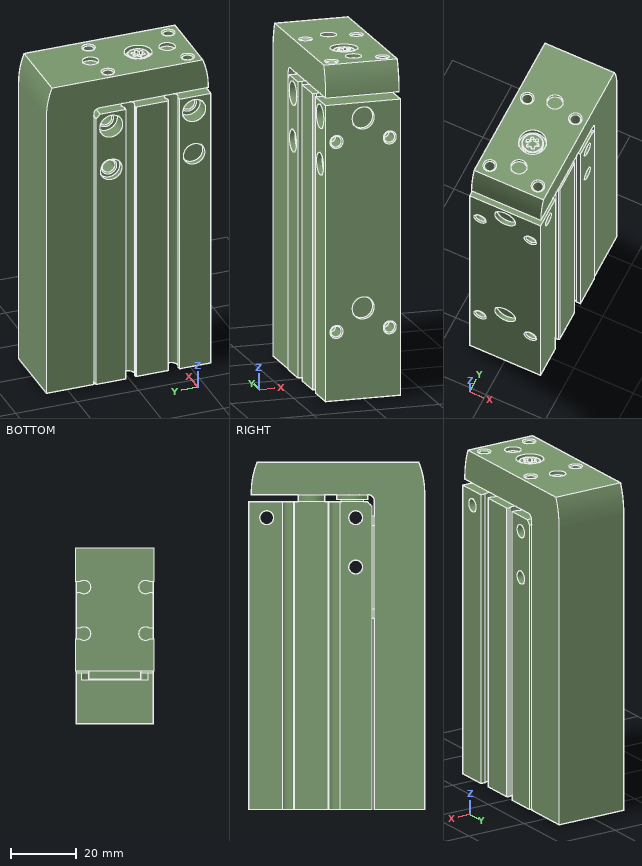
import cadquery as cq
import math


housing_width = 24.0
housing_depth = 37.5
housing_height = 93.6
housing_chamfer = 1.4
middle_land_recess = 0.26
middle_land_chamfer = 0.3

groove_diameter = 4.1
groove_mouth = 3.3
groove_center_depth = 2.6
groove_positions = (11.9, 26.1)

cross_hole_rows = (5.5, 32.5)
cross_hole_top = 88.7
cross_hole_pitch = 15.0
cross_hole_diameter = 4.1
cross_hole_thread_diameter = 5.0
bolt_bore_diameter = 7.5
bolt_bore_depth = 4.5
port_diameter = 7.0
side_port_depth = 1.8
front_port_depth = 1.5

front_pitch = 60.0
front_thread_top = 81.7
front_thread_spacing = 17.0
front_thread_depth = 6.0
front_port_top = 88.6

thread_diameter = 3.3
thread_mouth_diameter = 4.1
drill_tip_angle = 118.0

bumper_y = 31.5
bumper_neck_diameter = 7.0
bumper_diameter = 9.5
bumper_plate_thickness = 1.5

table_width = 23.4
table_height = 105.6
table_back = 53.5
table_front = 0.7
plate_bottom = 95.7
nose_start = 96.3
leg_front = 38.1
nose_setback = 1.8
inner_corner_radius = 1.8

pocket_width = 20.3
pocket_depth = 2.0
pocket_top = 94.9
pocket_corner_radius = 4.8
guide_width = 16.0
guide_top = 89.2
guide_bottom = 58.1
guide_end_cap = 3.0
guide_cap_step = 0.2

rod_y = 19.1
rod_diameter = 8.1
screw_bore_diameter = 8.5
screw_bore_depth = 1.8
screw_head_diameter = 6.5
screw_head_height = 1.3
screw_head_chamfer = 0.2
socket_tip_radius = 2.1
socket_root_radius = 1.4
socket_lobe_width = 1.0
socket_depth = 1.3
lobe_count = 6
dowel_diameter = 5.0
dowel_depth = 1.3
dowel_rows = (9.6, 34.6)
plate_thread_rows = (6.1, 32.1)
plate_thread_spacing = 16.3


def box(x_range, y_range, z_range):
    """Box between the given pairs of coordinates."""
    (x0, x1), (y0, y1), (z0, z1) = x_range, y_range, z_range
    return cq.Workplane("XY").box(x1 - x0, y1 - y0, z1 - z0, centered=False).translate((x0, y0, z0))


def cylinder(start, direction, diameter, length):
    """Round bar from a start point along a direction."""
    solid = cq.Solid.makeCylinder(diameter / 2, length, cq.Vector(*start), cq.Vector(*direction))
    return cq.Workplane(solid)


def thread_mouth(start, direction):
    """45-degree countersink at the mouth of a thread."""
    outer = thread_mouth_diameter / 2
    inner = thread_diameter / 2
    cone = cq.Solid.makeCone(outer, inner, outer - inner, cq.Vector(*start), cq.Vector(*direction))
    return cq.Workplane(cone)


def sensor_groove(y, side):
    """Round groove with a narrower mouth, along the full height of one side face."""
    center_x = side * (housing_width / 2 - groove_center_depth)
    channel = cylinder((center_x, y, 0), (0, 0, 1), groove_diameter, housing_height)
    mouth_x = sorted((center_x, side * housing_width / 2))
    mouth = box(mouth_x, (y - groove_mouth / 2, y + groove_mouth / 2), (0, housing_height))
    return channel.union(mouth)


def middle_land_cut(side):
    """Cut that lowers the land between the two grooves and bevels its edges."""
    outer_x = side * housing_width / 2
    land_x = outer_x - side * middle_land_recess
    bevel_x = land_x - side * middle_land_chamfer
    front_groove, rear_groove = groove_positions
    front_y = front_groove + groove_mouth / 2
    rear_y = rear_groove - groove_mouth / 2
    outline = [
        (outer_x, front_groove),
        (bevel_x, front_groove),
        (bevel_x, front_y),
        (land_x, front_y + middle_land_chamfer),
        (land_x, rear_y - middle_land_chamfer),
        (bevel_x, rear_y),
        (bevel_x, rear_groove),
        (outer_x, rear_groove),
    ]
    return cq.Workplane("XY").polyline(outline).close().extrude(housing_height)


def cross_hole(y, z, mouth_diameter, mouth_depth):
    """Hole through the full width, with a wide mouth and a short thread entry behind it."""
    start_x = -housing_width / 2
    along_x = (1, 0, 0)
    hole = cylinder((start_x, y, z), along_x, cross_hole_diameter, housing_width)
    mouth = cylinder((start_x, y, z), along_x, mouth_diameter, mouth_depth)
    entry_radius = cross_hole_thread_diameter / 2
    hole_radius = cross_hole_diameter / 2
    entry = cq.Solid.makeCone(
        entry_radius,
        hole_radius,
        entry_radius - hole_radius,
        cq.Vector(start_x + mouth_depth, y, z),
        cq.Vector(*along_x),
    )
    return hole.union(mouth).union(cq.Workplane(entry))


def front_thread(x, z):
    """Blind threaded hole in the front face, with a drill tip."""
    along_y = (0, 1, 0)
    radius = thread_diameter / 2
    tip_length = radius / math.tan(math.radians(drill_tip_angle / 2))
    tip = cq.Solid.makeCone(
        radius, 0, tip_length, cq.Vector(x, front_thread_depth, z), cq.Vector(*along_y)
    )
    bore = cylinder((x, 0, z), along_y, thread_diameter, front_thread_depth)
    return bore.union(cq.Workplane(tip)).union(thread_mouth((x, 0, z), along_y))


def make_guide():
    """Guide block behind the housing, with a lower end cap at each end."""
    half_width = guide_width / 2
    back = leg_front + pocket_depth
    cap_half_width = half_width - guide_cap_step
    cap_back = back - guide_cap_step
    block = box(
        (-half_width, half_width),
        (housing_depth, back),
        (guide_bottom + guide_end_cap, guide_top - guide_end_cap),
    )
    caps = box((-cap_half_width, cap_half_width), (housing_depth, cap_back), (guide_bottom, guide_top))
    return block.union(caps)


def make_bumper():
    """Stepped bumper that fills the gap between the housing and the end plate."""
    plate_z = plate_bottom - bumper_plate_thickness
    up = (0, 0, 1)
    neck = cylinder((0, bumper_y, housing_height), up, bumper_neck_diameter, plate_z - housing_height)
    plate = cylinder((0, bumper_y, plate_z), up, bumper_diameter, bumper_plate_thickness)
    return neck.union(plate)


def make_housing():
    half_width = housing_width / 2
    body = box((-half_width, half_width), (0, housing_depth), (0, housing_height))
    body = body.edges(">Y and >Z").chamfer(housing_chamfer)

    for side in (-1, 1):
        body = body.cut(middle_land_cut(side))
        for y in groove_positions:
            body = body.cut(sensor_groove(y, side))

    front_row, rear_row = cross_hole_rows
    lower_z = cross_hole_top - cross_hole_pitch
    for y in cross_hole_rows:
        body = body.cut(cross_hole(y, cross_hole_top, bolt_bore_diameter, bolt_bore_depth))
    body = body.cut(cross_hole(rear_row, lower_z, port_diameter, side_port_depth))
    body = body.cut(cylinder((-half_width, front_row, lower_z), (1, 0, 0), port_diameter, side_port_depth))

    for drop in (0, front_pitch):
        body = body.cut(cylinder((0, 0, front_port_top - drop), (0, 1, 0), port_diameter, front_port_depth))
        for side in (-1, 1):
            body = body.cut(front_thread(side * front_thread_spacing / 2, front_thread_top - drop))

    return body.union(make_guide()).union(make_bumper())


def table_blank():
    """L-shaped side outline with curved upper ends, extruded across the width."""
    end_height = table_height - nose_start
    end_radius = (end_height**2 + nose_setback**2) / (2 * nose_setback)
    return (
        cq.Workplane("YZ")
        .moveTo(leg_front, 0)
        .lineTo(table_back, 0)
        .lineTo(table_back, nose_start)
        .radiusArc((table_back - nose_setback, table_height), -end_radius)
        .lineTo(table_front + nose_setback, table_height)
        .radiusArc((table_front, nose_start), -end_radius)
        .lineTo(table_front, plate_bottom)
        .lineTo(leg_front - inner_corner_radius, plate_bottom)
        .radiusArc((leg_front, plate_bottom - inner_corner_radius), inner_corner_radius)
        .close()
        .extrude(table_width / 2, both=True)
    )


def guide_pocket():
    """Pocket in the leg, open at the bottom, with rounded upper corners."""
    cut_start = leg_front - inner_corner_radius
    pocket = box(
        (-pocket_width / 2, pocket_width / 2), (cut_start, leg_front + pocket_depth), (0, pocket_top)
    )
    return pocket.edges("|Y and >Z").fillet(pocket_corner_radius)


def lobed_socket():
    """Star socket with rounded lobes: a round core and a lobe in each direction."""
    top_z = table_height - screw_bore_depth + screw_head_height
    down = (0, 0, -1)
    socket = cylinder((0, rod_y, top_z), down, 2 * socket_root_radius, socket_depth)
    lobe_radius = socket_lobe_width / 2
    lobe_offset = socket_tip_radius - lobe_radius
    for index in range(lobe_count):
        lobe = (
            cq.Workplane("XY")
            .slot2D(lobe_offset + socket_lobe_width, socket_lobe_width)
            .extrude(-socket_depth)
            .translate((lobe_offset / 2, 0, 0))
            .rotate((0, 0, 0), (0, 0, 1), index * 360 / lobe_count)
            .translate((0, rod_y, top_z))
        )
        socket = socket.union(lobe)
    return socket


def screw_head():
    """Screw head on the floor of its counterbore."""
    head = cylinder(
        (0, rod_y, table_height - screw_bore_depth), (0, 0, 1), screw_head_diameter, screw_head_height
    )
    return head.faces(">Z").edges().chamfer(screw_head_chamfer).cut(lobed_socket())


def make_table():
    table = table_blank().cut(guide_pocket())
    down = (0, 0, -1)

    for y in dowel_rows:
        table = table.cut(cylinder((0, y, table_height), down, dowel_diameter, dowel_depth))
    for y in plate_thread_rows:
        for side in (-1, 1):
            start = (side * plate_thread_spacing / 2, y, table_height)
            table = table.cut(cylinder(start, down, thread_diameter, table_height - plate_bottom))
            table = table.cut(thread_mouth(start, down))

    screw_start = (0, rod_y, table_height)
    table = table.cut(cylinder(screw_start, down, screw_bore_diameter, screw_bore_depth))
    table = table.union(screw_head())

    rod_length = plate_bottom - housing_height
    rod = cylinder((0, rod_y, housing_height), (0, 0, 1), rod_diameter, rod_length)
    return table.union(rod)


housing = make_housing()
table = make_table()
result = cq.Compound.makeCompound([housing.val(), table.val()])